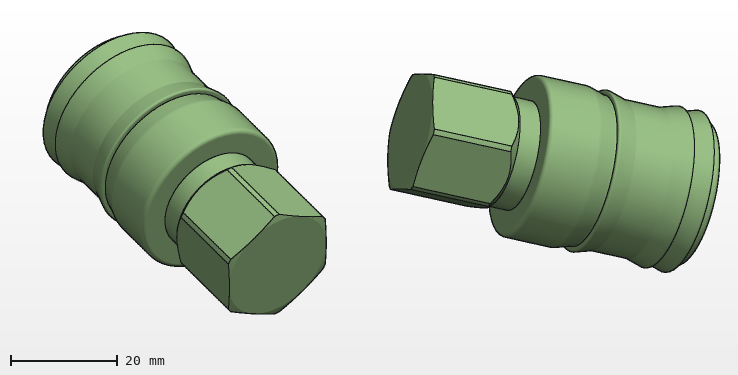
import cadquery as cq
import math

length = 57.25

nose_diameter = 28.0
sleeve_diameter = 31.0
grip_diameter = 29.0

nose_length = 1.95
nose_round = 1.0

flare_angle = 16.0
rib_tip_round = 0.4
valley_width = 0.35
second_rib_x = 5.95
third_rib_x = 21.35

collar_start = 25.05
collar_end = 35.2
collar_end_round = 0.85
collar_blend_radius = 1.3

neck_diameter = 21.0
hex_start = 39.3
hex_across_flats = 22.0
hex_corner_diameter = 24.8
hex_end_bevel = 0.35

nose_radius = nose_diameter / 2
sleeve_radius = sleeve_diameter / 2
grip_radius = grip_diameter / 2
neck_radius = neck_diameter / 2
flat_radius = hex_across_flats / 2
corner_radius = hex_corner_diameter / 2

flare_slope = math.tan(math.radians(flare_angle))


def revolve_profile(points):
    """Turn a closed (x, radius) outline about the X axis."""
    return cq.Workplane("XY").polyline(points).close().revolve(360, (0, 0, 0), (1, 0, 0))


def sharp_tip_radius():
    """Radius of the unrounded rib tip whose rounded crest lies on the sleeve diameter."""
    half_angle = math.radians(90 - flare_angle) / 2
    center_below_tip = rib_tip_round / math.tan(half_angle)
    return sleeve_radius - rib_tip_round + center_below_tip


def round_outer_edge(body, x_position, edge_round):
    """Fillet the largest circular edge of the body at the given X."""
    gap = 0.005
    reach = sleeve_diameter
    slice_at_x = cq.selectors.BoxSelector(
        (x_position - gap, -reach, -reach), (x_position + gap, reach, reach), boundingbox=True
    )
    largest = cq.selectors.RadiusNthSelector(-1)
    return body.edges(slice_at_x).edges(largest).fillet(edge_round)


tip_radius = sharp_tip_radius()
flare_length = (tip_radius - grip_radius) / flare_slope


def make_sleeve():
    """Nose, ribs, grip and collar with their rounded edges."""
    first_valley_x = second_rib_x - valley_width
    first_valley_radius = tip_radius - (first_valley_x - nose_length) * flare_slope
    last_valley_x = third_rib_x + valley_width
    last_valley_radius = sleeve_radius - (collar_start - last_valley_x) * flare_slope
    sleeve = revolve_profile([
        (0, 0),
        (0, nose_radius),
        (nose_length, nose_radius),
        (nose_length, tip_radius),
        (first_valley_x, first_valley_radius),
        (second_rib_x, first_valley_radius),
        (second_rib_x, tip_radius),
        (second_rib_x + flare_length, grip_radius),
        (third_rib_x - flare_length, grip_radius),
        (third_rib_x, tip_radius),
        (third_rib_x, last_valley_radius),
        (last_valley_x, last_valley_radius),
        (collar_start, sleeve_radius),
        (collar_end, sleeve_radius),
        (collar_end, 0),
    ])
    sleeve = round_outer_edge(sleeve, 0, nose_round)
    for rib_x in (nose_length, second_rib_x, third_rib_x):
        sleeve = round_outer_edge(sleeve, rib_x, rib_tip_round)
    sleeve = round_outer_edge(sleeve, collar_start, collar_blend_radius)
    return round_outer_edge(sleeve, collar_end, collar_end_round)


def make_neck():
    """Plain cylinder joining the collar to the hexagon."""
    return cq.Workplane("YZ").workplane(offset=collar_end).circle(neck_radius).extrude(hex_start - collar_end)


def make_hexagon():
    """Hexagon with flats on +Y and -Y, cut back to a turned envelope at its corners and ends."""
    lead_bevel = corner_radius - neck_radius
    blank = (
        cq.Workplane("YZ")
        .workplane(offset=hex_start)
        .polygon(6, hex_across_flats, circumscribed=True)
        .extrude(length - hex_start)
    )
    envelope = revolve_profile([
        (hex_start, 0),
        (hex_start, neck_radius),
        (hex_start + lead_bevel, corner_radius),
        (length - hex_end_bevel, corner_radius),
        (length, flat_radius),
        (length, 0),
    ])
    return blank.intersect(envelope)


result = make_sleeve().union(make_neck()).union(make_hexagon())